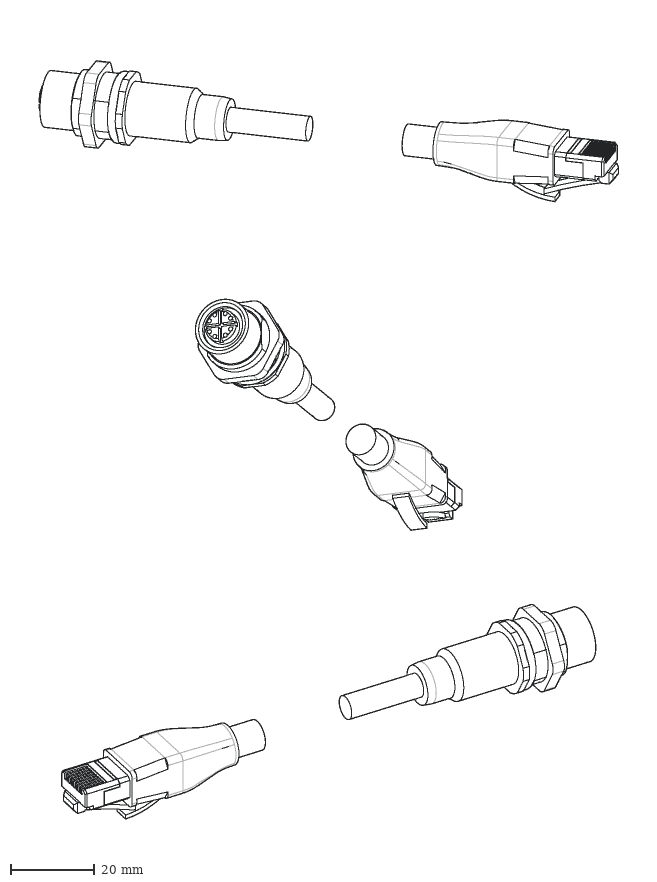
import cadquery as cq
import math


shell_start = 1.3
thread_start = 9.2
seal_start = 18.7
flange_start = 20.9
sleeve_start = 22.6
sleeve_taper_start = 37.8
boot_start = 39.5
boot_taper_start = 44.7
boot_end = 46.9
socket_cable_end = 66.9

shell_radius = 6.9
thread_radius = 8.0
thread_half_flats = 7.0
thread_lead_length = 0.5
thread_lead_radius = 7.2
seal_radius = 8.8
seal_edge_radius = 8.2
flange_radius = 8.9
flange_half_flats = 8.5
sleeve_radius = 6.6
boot_radius = 5.3
boot_end_radius = 5.0
socket_cable_radius = 3.0

insert_radius = 4.0
insert_depth = 4.3
insert_chamfer = 0.6
cross_slot_width = 0.9
groove_radius = 5.2
groove_depth = 1.5
groove_mouth_radius = 6.0
groove_mouth_depth = 0.5
contact_hole_radius = 0.5
contact_hole_near = 1.37
contact_hole_far = 2.7

nut_start = 12.1
nut_end = 15.2
nut_half_flats = 9.5
nut_corner_rounding = 3.0

plug_cable_start = 91.3
plug_cable_radius = 3.9
collar_start = 99.5
collar_end = 100.4
collar_radius = 5.3
collar_seam_angles = (30, 48)
hood_full = 116.0
flare_steps = 4
hood_grip_start = 120.2
hood_lip_start = 128.8
hood_end = 130.1
hood_width = 13.8
hood_height = 11.4
hood_end_height = 9.9
hood_rounding = 1.5
grip_bevel_height = 2.5

nose_end = 142.5
nose_top = 3.5
nose_bottom = -3.0
nose_width = 11.6
nose_bevel = 0.9
nose_end_chamfer = 0.5

shield_thickness = 0.1
shield_start = 133.0
window_end = 137.3
window_top = 1.7

latch_recess_start = 140.3
latch_recess_top = -1.3
top_groove_end = 133.9
top_recess_start = 135.9
top_recess_depth = 0.1
top_recess_width = 9.5

contact_count = 8
contact_pitch = 1.08
contact_slot_width = 0.6
contact_slot_start = 136.5
contact_step = 138.8
contact_shallow_depth = 0.9
contact_deep_depth = 1.9

latch_tip_start = 140.5
latch_tip_end = 143.8
latch_tip_top = -1.2
latch_tip_bottom = -4.2
latch_tip_width = 6.3
latch_tip_chamfer = 0.7
latch_width = 4.2
latch_thickness = 1.3
lever_thickness = 1.2
latch_arc = ((126.4, -7.8), (133.7, -5.2), (140.9, -3.2))
lever_arc = ((117.2, -5.3), (122.2, -8.2), (129.1, -9.6))


def cylinder(start, end, radius):
    """Cylinder on the X axis."""
    return cq.Workplane("YZ", origin=(start, 0, 0)).circle(radius).extrude(end - start)


def cone(start, end, start_radius, end_radius):
    """Truncated cone on the X axis."""
    outline = [(start, 0), (end, 0), (end, end_radius), (start, start_radius)]
    return cq.Workplane("XY").polyline(outline).close().revolve(360, (0, 0, 0), (1, 0, 0))


def hexagonal_prism(start, end, half_flats):
    """Hexagonal prism along X with flats facing up and down."""
    corner = half_flats / math.cos(math.pi / 6)
    angles = [index * math.pi / 3 for index in range(6)]
    outline = [(corner * math.cos(angle), corner * math.sin(angle)) for angle in angles]
    return cq.Workplane("YZ", origin=(start, 0, 0)).polyline(outline).close().extrude(end - start)


def block(x_range, y_range, z_range):
    """Box between the given limits."""
    lows, highs = zip(x_range, y_range, z_range)
    sizes = [high - low for low, high in zip(lows, highs)]
    return cq.Workplane("XY").box(*sizes, centered=False).translate(lows)


def make_threaded_section():
    """Round section with a conical lead-in and a flat on each side."""
    lead_end = thread_start + thread_lead_length
    section = cone(thread_start, lead_end, thread_lead_radius, thread_radius).union(
        cylinder(lead_end, seal_start, thread_radius)
    )
    flats = block(
        (thread_start, seal_start),
        (-thread_half_flats, thread_half_flats),
        (-thread_radius, thread_radius),
    )
    return section.intersect(flats)


def make_seal():
    """Ring with a rounded rim."""
    return (
        cq.Workplane("XY")
        .moveTo(seal_start, 0)
        .lineTo(seal_start, seal_edge_radius)
        .threePointArc(((seal_start + flange_start) / 2, seal_radius), (flange_start, seal_edge_radius))
        .lineTo(flange_start, 0)
        .close()
        .revolve(360, (0, 0, 0), (1, 0, 0))
    )


def make_flange():
    """Round flange with six wrench flats, two of them facing up and down."""
    hexagon = hexagonal_prism(flange_start, sleeve_start, flange_half_flats)
    return cylinder(flange_start, sleeve_start, flange_radius).intersect(hexagon)


def make_insert():
    """Contact insert: four quadrants parted by a cross slot, two contact holes in each."""
    insert = cylinder(0, insert_depth, insert_radius).faces("<X").chamfer(insert_chamfer)
    for size_y, size_z in ((cross_slot_width, 2 * insert_radius), (2 * insert_radius, cross_slot_width)):
        insert = insert.cut(cq.Workplane("XY").box(2 * shell_start, size_y, size_z))
    holes = [
        (side_y * y, side_z * z)
        for y, z in ((contact_hole_near, contact_hole_far), (contact_hole_far, contact_hole_near))
        for side_y in (-1, 1)
        for side_z in (-1, 1)
    ]
    return insert.cut(cq.Workplane("YZ").pushPoints(holes).circle(contact_hole_radius).extrude(insert_depth))


def make_socket():
    shell = cylinder(shell_start, thread_start, shell_radius)
    groove = cylinder(shell_start, shell_start + groove_depth, groove_radius)
    mouth = cone(shell_start, shell_start + groove_mouth_depth, groove_mouth_radius, groove_radius)
    insert_seat = cylinder(shell_start, insert_depth, insert_radius)
    shell = shell.cut(mouth).cut(groove).cut(insert_seat)
    return (
        shell.union(make_insert())
        .union(make_threaded_section())
        .union(make_seal())
        .union(make_flange())
        .union(cylinder(sleeve_start, sleeve_taper_start, sleeve_radius))
        .union(cone(sleeve_taper_start, boot_start, sleeve_radius, boot_radius))
        .union(cylinder(boot_start, boot_taper_start, boot_radius))
        .union(cone(boot_taper_start, boot_end, boot_radius, boot_end_radius))
        .union(cylinder(boot_end, socket_cable_end, socket_cable_radius))
    )


def make_nut():
    """Hexagonal nut with rounded corners, two of its flats facing up and down."""
    prism = hexagonal_prism(nut_start, nut_end, nut_half_flats)
    return prism.edges("|X").fillet(nut_corner_rounding).cut(cylinder(nut_start, nut_end, thread_radius))


def rounded_section(width, height, rounding):
    return cq.Sketch().rect(width, height).vertices().fillet(rounding)


def bevelled_section(width, height):
    outline = bevelled_outline(width / 2, -height / 2, height / 2, hood_rounding, grip_bevel_height)
    return cq.Sketch().polygon(outline + outline[:1])


def bevelled_outline(half_width, bottom, top, bevel_y, bevel_z):
    """Eight (y, z) corners of a rectangle with bevelled corners."""
    return [
        (half_width, bottom + bevel_z),
        (half_width, top - bevel_z),
        (half_width - bevel_y, top),
        (bevel_y - half_width, top),
        (-half_width, top - bevel_z),
        (-half_width, bottom + bevel_z),
        (bevel_y - half_width, bottom),
        (half_width - bevel_y, bottom),
    ]


def loft_sections(sections):
    """Solid through (station, sketch) pairs along X."""
    start = sections[0][0]
    placed = [sketch.moved(cq.Location(cq.Vector(0, 0, station - start))) for station, sketch in sections]
    return cq.Workplane("YZ", origin=(start, 0, 0)).placeSketch(*placed).loft(ruled=True)


def flare_quadrant(share):
    """Five (y, z) points from the side to the top of a section of the flare.

    The section is the round collar at share 0 and the rounded rectangle of the hood at share 1.
    The second and fourth points are the ends of the corner arc.
    """
    low, high = collar_seam_angles
    angles = [math.radians(angle) for angle in (0, low, (low + high) / 2, high, 90)]
    round_points = [(collar_radius * math.cos(angle), collar_radius * math.sin(angle)) for angle in angles]
    half_width = hood_width / 2
    half_height = hood_height / 2
    arc_inset = hood_rounding * (1 - math.sqrt(0.5))
    square_points = [
        (half_width, 0),
        (half_width, half_height - hood_rounding),
        (half_width - arc_inset, half_height - arc_inset),
        (half_width - hood_rounding, half_height),
        (0, half_height),
    ]
    return [
        (y0 + share * (y1 - y0), z0 + share * (z1 - z0))
        for (y0, z0), (y1, z1) in zip(round_points, square_points)
    ]


def flare_section(station, share):
    """Closed wire of eight edges: four sides and four corners."""
    right_top = flare_quadrant(share)
    left_top = [(-y, z) for y, z in reversed(right_top[:-1])]
    upper = right_top + left_top
    lower = [(-y, -z) for y, z in upper[1:-1]]
    points = [cq.Vector(station, y, z) for y, z in upper + lower]
    edges = []
    for first in range(1, len(points), 2):
        start, middle, end = [points[(first + step) % len(points)] for step in range(3)]
        is_side = (first + 1) % 4 == 0
        is_flat = share == 1 and is_side
        if is_flat:
            edges.append(cq.Edge.makeLine(start, end))
        else:
            edges.append(cq.Edge.makeThreePointArc(start, middle, end))
    return cq.Wire.assembleEdges(edges)


def make_flare():
    """Flare that starts and ends parallel to the axis."""
    sections = []
    for step in range(flare_steps + 1):
        progress = step / flare_steps
        share = (1 - math.cos(math.pi * progress)) / 2
        sections.append(flare_section(collar_end + progress * (hood_full - collar_end), share))
    return cq.Workplane("XY").newObject([cq.Solid.makeLoft(sections, False)])


def make_hood():
    full = rounded_section(hood_width, hood_height, hood_rounding)
    end = rounded_section(hood_width, hood_end_height, hood_rounding)
    straight = loft_sections([(hood_full, full), (hood_grip_start, full)])
    grip = loft_sections(
        [
            (hood_grip_start, bevelled_section(hood_width, hood_height)),
            (hood_lip_start, bevelled_section(hood_width, hood_end_height)),
        ]
    )
    lip = loft_sections([(hood_lip_start, end), (hood_end, end)])
    collar = cylinder(collar_start, collar_end, collar_radius)
    return collar.union(make_flare()).union(straight).union(grip).union(lip)


def nose_prism(start, end, growth):
    """Bevelled prism of the nose, widened sideways by the given growth."""
    half_width = nose_width / 2 + growth
    outline = bevelled_outline(half_width, nose_bottom, nose_top, nose_bevel + growth, nose_bevel)
    return cq.Workplane("YZ", origin=(start, 0, 0)).polyline(outline).close().extrude(end - start)


def make_nose():
    window = block((shield_start, window_end), (-nose_width, nose_width), (nose_bottom, window_top))
    shield = nose_prism(shield_start, nose_end, shield_thickness).cut(window)
    nose = nose_prism(hood_end, nose_end, 0).union(shield)
    nose = nose.faces(">X").chamfer(nose_end_chamfer)
    full_width = (-nose_width, nose_width)
    nose = nose.cut(block((latch_recess_start, nose_end), full_width, (nose_bottom, latch_recess_top)))
    recess_y = (-top_recess_width / 2, top_recess_width / 2)
    recess_z = (nose_top - top_recess_depth, nose_top)
    for recess_x in ((shield_start, top_groove_end), (top_recess_start, nose_end)):
        nose = nose.cut(block(recess_x, recess_y, recess_z))
    for index in range(contact_count):
        center = (index - (contact_count - 1) / 2) * contact_pitch
        width = (center - contact_slot_width / 2, center + contact_slot_width / 2)
        shallow = (nose_top - contact_shallow_depth, nose_top)
        deep = (nose_top - contact_deep_depth, nose_top)
        nose = nose.cut(block((contact_slot_start, contact_step), width, shallow))
        nose = nose.cut(block((contact_step, nose_end), width, deep))
    return nose


def curved_strip(start, middle, end, width, thickness):
    """Strip of even height whose upper face follows an arc through three (x, z) points."""
    def lower(p):
        return (p[0], p[1] - thickness)

    return (
        cq.Workplane("XZ", origin=(0, width / 2, 0))
        .moveTo(*start)
        .threePointArc(middle, end)
        .lineTo(*lower(end))
        .threePointArc(lower(middle), lower(start))
        .close()
        .extrude(width)
    )


def make_latch():
    tip = (
        block(
            (latch_tip_start, latch_tip_end),
            (-latch_tip_width / 2, latch_tip_width / 2),
            (latch_tip_bottom, latch_tip_top),
        )
        .edges("|Y or (|Z and >X)")
        .chamfer(latch_tip_chamfer)
    )
    arm = curved_strip(*latch_arc, latch_width, latch_thickness)
    return tip.union(arm)


def make_lever():
    return curved_strip(*lever_arc, latch_width, lever_thickness)


def make_plug():
    return (
        cylinder(plug_cable_start, collar_start, plug_cable_radius)
        .union(make_hood())
        .union(make_nose())
        .union(make_latch())
        .union(make_lever())
    )


socket = make_socket()
nut = make_nut()
plug = make_plug()
result = cq.Compound.makeCompound([socket.solids().val(), nut.solids().val(), plug.solids().val()])